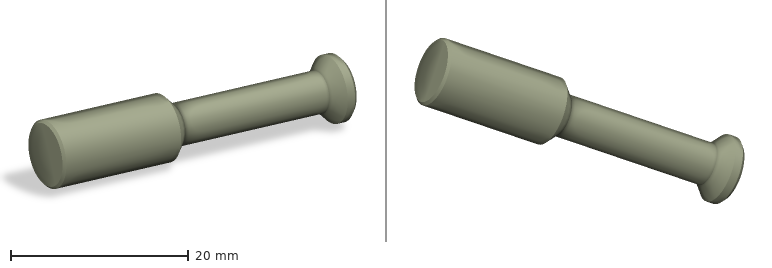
import cadquery as cq

length = 39.0
body_diameter = 8.0
neck_diameter = 5.0

body_length = 15.5
head_rim_length = 1.5
neck_cone_length = (body_diameter - neck_diameter) / 2

body_chamfer = 0.3
head_chamfer = 0.5

body_radius = body_diameter / 2
neck_radius = neck_diameter / 2
body_end = -length / 2
head_end = length / 2
body_shoulder = body_end + body_length
head_shoulder = head_end - head_rim_length

profile = (
    cq.Workplane("XY")
    .moveTo(0, body_end)
    .lineTo(body_radius - body_chamfer, body_end)
    .lineTo(body_radius, body_end + body_chamfer)
    .lineTo(body_radius, body_shoulder)
    .lineTo(neck_radius, body_shoulder + neck_cone_length)
    .lineTo(neck_radius, head_shoulder - neck_cone_length)
    .lineTo(body_radius, head_shoulder)
    .lineTo(body_radius, head_end - head_chamfer)
    .lineTo(body_radius - head_chamfer, head_end)
    .lineTo(0, head_end)
    .close()
)

result = profile.revolve(360, (0, 0, 0), (0, 1, 0))